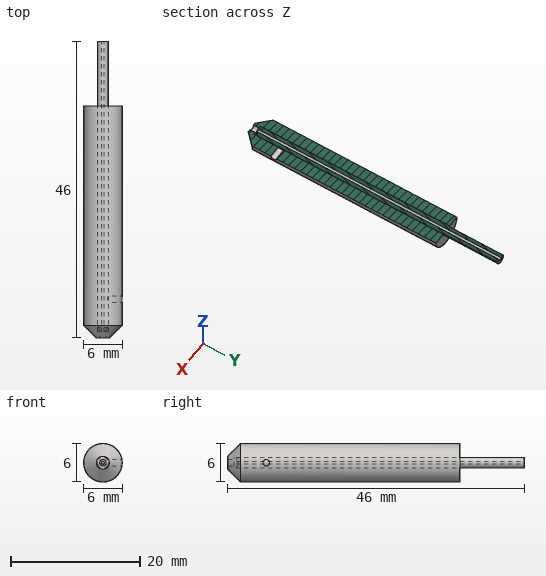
import cadquery as cq

housing_diameter = 6.0
housing_length = 36.0
nose_face_diameter = 2.0
nose_length = (housing_diameter - nose_face_diameter) / 2
orifice_diameter = 1.0
orifice_depth = 1.0

port_diameter = 1.0
port_from_nose = 6.0

tube_diameter = 1.7
tube_bore_diameter = 0.4
tube_exposed_length = 10.0
tube_end = housing_length + tube_exposed_length
tube_tip_length = (tube_diameter - tube_bore_diameter) / 2


def cylinder_along_y(diameter, start, end):
    """Solid cylinder on the Y axis between two Y positions."""
    base = cq.Workplane("XZ", origin=(0, start, 0))
    return base.circle(diameter / 2).extrude(start - end)


def make_housing():
    """Barrel with a conical nose, a nose orifice, a bore for the tube and a side port."""
    barrel = cylinder_along_y(housing_diameter, 0, housing_length)
    barrel = barrel.faces("<Y").chamfer(nose_length)
    orifice = cylinder_along_y(orifice_diameter, 0, orifice_depth)
    bore = cylinder_along_y(tube_diameter, orifice_depth, housing_length)
    port = (
        cq.Workplane("YZ")
        .center(port_from_nose, 0)
        .circle(port_diameter / 2)
        .extrude(housing_diameter / 2)
    )
    return barrel.cut(orifice).cut(bore).cut(port)


def make_tube():
    """Hollow tube whose front end tapers to the edge of its own bore."""
    outer_radius = tube_diameter / 2
    bore_radius = tube_bore_diameter / 2
    half_section = (
        cq.Workplane("XY")
        .moveTo(bore_radius, orifice_depth)
        .lineTo(outer_radius, orifice_depth + tube_tip_length)
        .lineTo(outer_radius, tube_end)
        .lineTo(bore_radius, tube_end)
        .close()
    )
    return half_section.revolve(360, (0, 0, 0), (0, 1, 0))


housing = make_housing()
tube = make_tube()

result = cq.Compound.makeCompound([housing.val(), tube.val()])